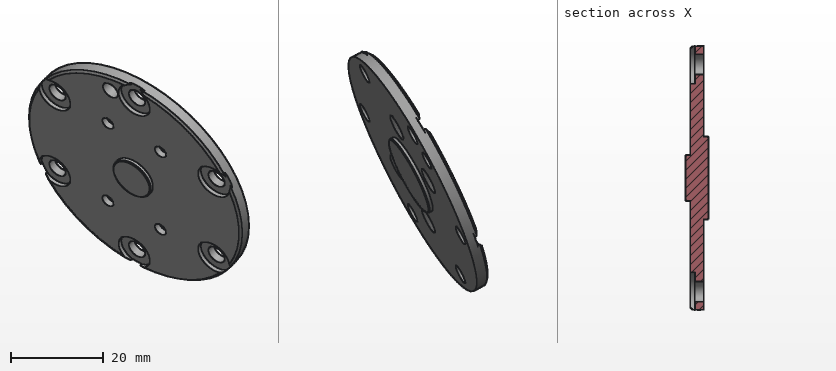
import cadquery as cq

disc_diameter = 57.0
disc_thickness = 3.0
rim_chamfer = 0.5

total_thickness = 5.0
pad_height = (total_thickness - disc_thickness) / 2
front_pad_diameter = 10.05
back_pad_diameter = 18.0
pad_chamfer = 0.2

bolt_circle_radius = 24.5
bolt_count = 6
bolt_hole_diameter = 4.35
counterbore_diameter = 8.3
counterbore_depth = 1.0

locating_hole_diameter = 4.0
locating_hole_angle = 105.0

small_hole_diameter = 2.95
small_hole_spacing_x = 14.0
small_hole_spacing_z = 25.1
countersink_depth = 1.5


def cylinder_y(diameter, start, end):
    """Cylinder on the disc axis, spanning start to end along Y."""
    plane = cq.Workplane("XZ", origin=(0, start, 0))
    return plane.circle(diameter / 2).extrude(start - end)


def round_cutters(layout, diameter, depth):
    """Cylinders at the laid-out points, from the front face inward."""
    return layout.circle(diameter / 2).extrude(-depth)


front_plane = cq.Workplane("XZ")
bolt_layout = front_plane.polarArray(bolt_circle_radius, 90, 360, bolt_count)
locating_layout = front_plane.polarArray(bolt_circle_radius, locating_hole_angle, 360, 1)
small_layout = front_plane.rarray(small_hole_spacing_x, small_hole_spacing_z, 2, 2)

disc = cylinder_y(disc_diameter, 0, disc_thickness)
disc = disc.faces("<Y").chamfer(rim_chamfer)

disc = disc.cut(round_cutters(bolt_layout, counterbore_diameter, counterbore_depth))
disc = disc.cut(round_cutters(bolt_layout, bolt_hole_diameter, disc_thickness))
disc = disc.cut(round_cutters(locating_layout, locating_hole_diameter, disc_thickness))
disc = disc.cut(round_cutters(small_layout, small_hole_diameter, disc_thickness))

countersink_plane = cq.Workplane("XZ", origin=(0, disc_thickness, 0))
countersink_layout = countersink_plane.rarray(small_hole_spacing_x, small_hole_spacing_z, 2, 2)
countersink_diameter = small_hole_diameter + 2 * countersink_depth
countersinks = countersink_layout.circle(countersink_diameter / 2).extrude(countersink_depth, taper=45)
disc = disc.cut(countersinks)

front_pad = cylinder_y(front_pad_diameter, -pad_height, 0)
front_pad = front_pad.faces("<Y").chamfer(pad_chamfer)
back_pad = cylinder_y(back_pad_diameter, disc_thickness, disc_thickness + pad_height)
back_pad = back_pad.faces(">Y").chamfer(pad_chamfer)

result = disc.union(front_pad).union(back_pad)